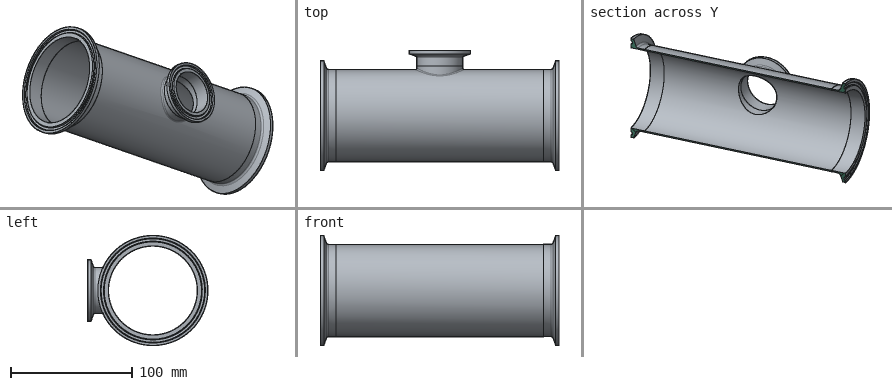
import cadquery as cq
import math

overall_length = 196.8
branch_reach = 54.0
ferrule_length = 12.8
wall = 1.5
root_fillet = 1.0

run_radius = 38.2
run_flange_radius = 45.5
run_rim_thickness = 2.8
run_neck_fillet = 2.0
run_groove_radius = 41.7

branch_radius = 19.0
branch_flange_radius = 25.4
branch_rim_thickness = 3.0
branch_neck_fillet = 1.2
branch_groove_radius = 21.8

back_slope = math.radians(20)
groove_half_width = 1.5
groove_floor_half_width = 1.0
groove_side_depth = 1.0
groove_depth = 1.4

run_length = overall_length - 2 * ferrule_length
stub_end = branch_reach - ferrule_length


def cylinder(radius, length):
    return cq.Workplane("XY").circle(radius).extrude(length)


def ferrule(tube_radius, flange_radius, rim_thickness, neck_fillet, groove_radius):
    """Clamp ferrule on the Z axis, with its face at Z = 0 and its tube toward +Z."""
    slope_drop = (flange_radius - tube_radius) * math.tan(back_slope)
    slope_foot_height = rim_thickness + slope_drop
    turn_angle = math.pi / 2 - back_slope
    tangent_length = neck_fillet * math.tan(turn_angle / 2)
    slope_end = (
        tube_radius + tangent_length * math.cos(back_slope),
        slope_foot_height - tangent_length * math.sin(back_slope),
    )
    neck_end_height = slope_foot_height + tangent_length
    neck_middle = (
        tube_radius + neck_fillet * (1 - math.cos(turn_angle / 2)),
        neck_end_height - neck_fillet * math.sin(turn_angle / 2),
    )

    bore_radius = tube_radius - wall
    profile = (
        cq.Workplane("XZ")
        .moveTo(bore_radius, 0)
        .lineTo(groove_radius - groove_half_width, 0)
        .lineTo(groove_radius - groove_floor_half_width, groove_side_depth)
        .threePointArc(
            (groove_radius, groove_depth),
            (groove_radius + groove_floor_half_width, groove_side_depth),
        )
        .lineTo(groove_radius + groove_half_width, 0)
        .lineTo(flange_radius, 0)
        .lineTo(flange_radius, rim_thickness)
        .lineTo(*slope_end)
        .threePointArc(neck_middle, (tube_radius, neck_end_height))
        .lineTo(tube_radius, ferrule_length)
        .lineTo(bore_radius, ferrule_length)
        .close()
    )
    return profile.revolve(360, (0, 0, 0), (0, 1, 0))


def run_ferrule(side):
    """End ferrule of the run; side is -1 for the -X end and +1 for the +X end."""
    blank = ferrule(
        run_radius, run_flange_radius, run_rim_thickness, run_neck_fillet, run_groove_radius
    )
    turned = blank.rotate((0, 0, 0), (0, 1, 0), -90 * side)
    return turned.translate((side * overall_length / 2, 0, 0))


def branch_ferrule():
    blank = ferrule(
        branch_radius, branch_flange_radius, branch_rim_thickness, branch_neck_fillet, branch_groove_radius
    )
    return blank.rotate((0, 0, 0), (1, 0, 0), 90).translate((0, branch_reach, 0))


def along_run(radius):
    return cylinder(radius, run_length).rotate((0, 0, 0), (0, 1, 0), 90).translate((-run_length / 2, 0, 0))


def along_branch(radius):
    return cylinder(radius, stub_end).rotate((0, 0, 0), (1, 0, 0), -90)


def tee_tube():
    """Run tube with a short branch stub, bored through both ways."""
    outside = along_run(run_radius).union(along_branch(branch_radius))
    root_box = cq.selectors.BoxSelector(
        (-branch_radius - wall, 0, -branch_radius - wall),
        (branch_radius + wall, run_radius + wall, branch_radius + wall),
        boundingbox=True,
    )
    outside = outside.edges(root_box).fillet(root_fillet)
    return outside.cut(along_run(run_radius - wall)).cut(along_branch(branch_radius - wall))


tube = tee_tube()
run_ferrules = [run_ferrule(side) for side in (-1, 1)]
side_ferrule = branch_ferrule()

result = cq.Compound.makeCompound(
    [tube.val(), *[end.val() for end in run_ferrules], side_ferrule.val()]
)